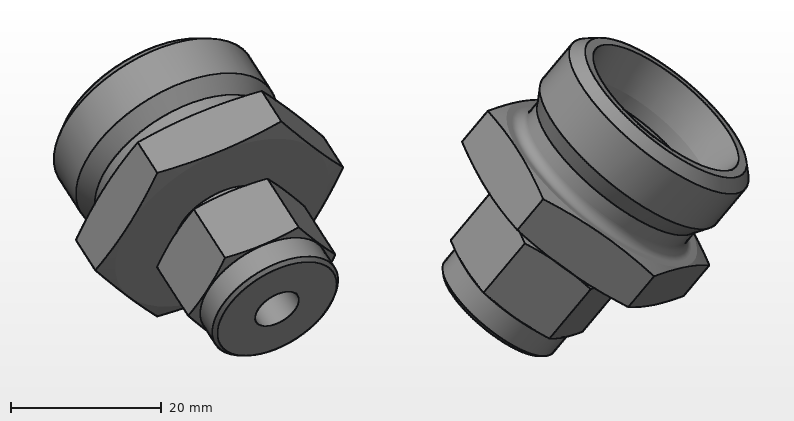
import cadquery as cq
import math


TOTAL_LENGTH = 37.0
LEAD_CHAMFER = 1.5
THREAD_END = 7.95
RELIEF_START = 10.5
LARGE_HEX_START = 14.0
LARGE_HEX_END = 21.0
SMALL_HEX_START = 23.2
SMALL_HEX_END = 33.0

THREAD_RADIUS = 15.0
RELIEF_RADIUS = 13.5
RELIEF_FILLET = 1.4
LARGE_HEX_FLATS = 32.0
NECK_RADIUS = 7.0
SMALL_HEX_FLATS = 19.0
TAIL_RADIUS = 9.4
TAIL_CHAMFER = 0.5
CORNER_CHAMFER_ANGLE = 15.0
LARGE_HEX_FACE_MARGIN = 0.1
LARGE_HEX_FACE_RADIUS = LARGE_HEX_FLATS / 2 - LARGE_HEX_FACE_MARGIN
SMALL_HEX_FACE_RADIUS = SMALL_HEX_FLATS / 2

MOUTH_RADIUS = 12.15
SOCKET_RADIUS = 11.0
SEAT_HALF_ANGLE = 12.0
SOCKET_DEPTH = 7.5
BORE_RADIUS = 9.5
BORE_DEPTH = 16.0
DRILL_HALF_ANGLE = 59.0
HOLE_RADIUS = 3.25


def revolve_about_axis(profile):
    """Revolve a closed profile of (axial, radial) points about the X axis."""
    return profile.close().revolve(360, (0, 0, 0), (1, 0, 0))


def turned_body():
    """Thread, relief groove, neck and tail as one solid of revolution."""
    arc_reach = RELIEF_FILLET * math.sin(math.pi / 4)
    fillet_start = LARGE_HEX_START - RELIEF_FILLET
    fillet_top = RELIEF_RADIUS + RELIEF_FILLET
    profile = (
        cq.Workplane("XY")
        .lineTo(0, THREAD_RADIUS - LEAD_CHAMFER)
        .lineTo(LEAD_CHAMFER, THREAD_RADIUS)
        .lineTo(THREAD_END, THREAD_RADIUS)
        .lineTo(RELIEF_START, RELIEF_RADIUS)
        .lineTo(fillet_start, RELIEF_RADIUS)
        .threePointArc((fillet_start + arc_reach, fillet_top - arc_reach), (LARGE_HEX_START, fillet_top))
        .lineTo(LARGE_HEX_END, fillet_top)
        .lineTo(LARGE_HEX_END, NECK_RADIUS)
        .lineTo(SMALL_HEX_END, NECK_RADIUS)
        .lineTo(SMALL_HEX_END, TAIL_RADIUS)
        .lineTo(TOTAL_LENGTH - TAIL_CHAMFER, TAIL_RADIUS)
        .lineTo(TOTAL_LENGTH, TAIL_RADIUS - TAIL_CHAMFER)
        .lineTo(TOTAL_LENGTH, 0)
    )
    return revolve_about_axis(profile)


def chamfered_hex(start, end, across_flats, face_radius):
    """Hexagon with corners along Y, its corners turned down conically at both ends."""
    across_corners = across_flats / math.cos(math.pi / 6)
    prism = cq.Workplane("YZ").workplane(offset=start).polygon(6, across_corners).extrude(end - start)
    corner_radius = across_corners / 2
    setback = (corner_radius - face_radius) * math.tan(math.radians(CORNER_CHAMFER_ANGLE))
    envelope = (
        cq.Workplane("XY")
        .moveTo(start, 0)
        .lineTo(start, face_radius)
        .lineTo(start + setback, corner_radius)
        .lineTo(end - setback, corner_radius)
        .lineTo(end, face_radius)
        .lineTo(end, 0)
    )
    return prism.intersect(revolve_about_axis(envelope))


def bore():
    """Conical seat, tube socket, bore with a drill-point bottom, and a through hole."""
    seat_depth = (MOUTH_RADIUS - SOCKET_RADIUS) / math.tan(math.radians(SEAT_HALF_ANGLE))
    drill_depth = (BORE_RADIUS - HOLE_RADIUS) / math.tan(math.radians(DRILL_HALF_ANGLE))
    profile = (
        cq.Workplane("XY")
        .lineTo(0, MOUTH_RADIUS)
        .lineTo(seat_depth, SOCKET_RADIUS)
        .lineTo(SOCKET_DEPTH, SOCKET_RADIUS)
        .lineTo(SOCKET_DEPTH, BORE_RADIUS)
        .lineTo(BORE_DEPTH, BORE_RADIUS)
        .lineTo(BORE_DEPTH + drill_depth, HOLE_RADIUS)
        .lineTo(TOTAL_LENGTH, HOLE_RADIUS)
        .lineTo(TOTAL_LENGTH, 0)
    )
    return revolve_about_axis(profile)


large_hex = chamfered_hex(LARGE_HEX_START, LARGE_HEX_END, LARGE_HEX_FLATS, LARGE_HEX_FACE_RADIUS)
small_hex = chamfered_hex(SMALL_HEX_START, SMALL_HEX_END, SMALL_HEX_FLATS, SMALL_HEX_FACE_RADIUS)

result = turned_body().union(large_hex).union(small_hex).cut(bore())